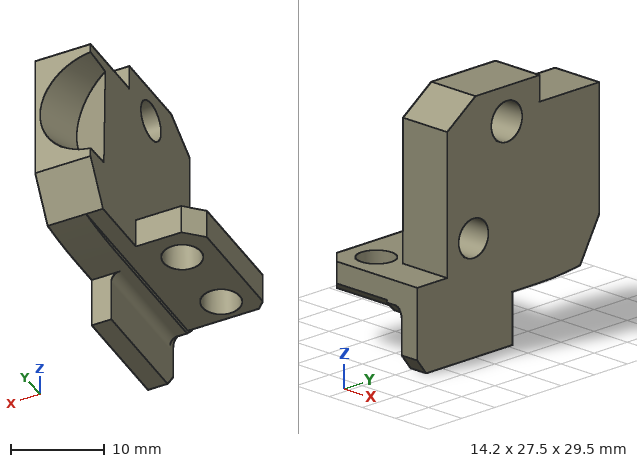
import cadquery as cq
import math

length_x = 14.15
length_y = 27.5
height = 29.5

block_left = 7.5
block_front = 4.5
shoulder_z = 26.5
shoulder_y = 18.5
top_bevel_y = 8.8
back_bevel_top_z = 11.6
back_bevel_bottom_y = 24.6

flange_top = 10.0
flange_bottom = 6.5
flange_depth = 17.0
corner_chamfer = 2.0
flange_edge_chamfer = 1.03

pad_left = 9.53
pad_bottom = 6.02
pad_flat_end = 17.97
pad_edge_chamfer = 1.2

leg_left = 11.8
leg_depth = 14.4
leg_chamfer_y = 1.35
leg_chamfer_z = 1.8
inner_fillet = 1.0
edge_search_margin = 0.03

flange_hole_diameter = 4.48
flange_hole_x = 3.98
flange_hole_ys = (4.0, 13.0)
cross_holes = ((13.5, 25.5, 4.65), (8.5, 13.5, 4.48))

scoop_radius = 6.43
scoop_center_x = 6.67
scoop_center_z = 19.03
scoop_depth = 2.57
scoop_yaw = 21.0
scoop_pitch = 1.4


def extrude_x(outline, x_start, x_end):
    """Extrude a closed YZ outline between two X positions."""
    return outline.extrude(x_end - x_start).translate((x_start, 0, 0))


def front_edge_wedge(bottom, size, x_start, x_end):
    """Wedge that bevels the lower front edge of a horizontal plate."""
    outline = cq.Workplane("YZ").polyline([(0, bottom), (size, bottom), (0, bottom + size)]).close()
    return extrude_x(outline, x_start, x_end)


def make_block():
    outline = cq.Workplane("YZ").polyline([
        (block_front, flange_bottom),
        (block_front, shoulder_z),
        (top_bevel_y, height),
        (shoulder_y, height),
        (shoulder_y, shoulder_z),
        (length_y, shoulder_z),
        (length_y, back_bevel_top_z),
        (back_bevel_bottom_y, flange_bottom),
    ]).close()
    return extrude_x(outline, block_left, length_x)


def make_flange():
    plate = cq.Workplane("XY").box(
        length_x, flange_depth, flange_top - flange_bottom, centered=False
    ).translate((0, 0, flange_bottom))
    plate = plate.edges("|Z and <X").chamfer(corner_chamfer)
    return plate.cut(front_edge_wedge(flange_bottom, flange_edge_chamfer, 0, pad_left))


def make_pad():
    outline = (
        cq.Workplane("YZ")
        .moveTo(0, flange_top)
        .lineTo(0, pad_bottom)
        .lineTo(pad_flat_end, pad_bottom)
        .tangentArcPoint((back_bevel_bottom_y, flange_bottom), relative=False)
        .lineTo(flange_depth, flange_top)
        .close()
    )
    return extrude_x(outline, pad_left, length_x)


def make_leg():
    outline = cq.Workplane("YZ").polyline([
        (0, flange_top),
        (0, leg_chamfer_z),
        (leg_chamfer_y, 0),
        (leg_depth, 0),
        (leg_depth, flange_top),
    ]).close()
    return extrude_x(outline, leg_left, length_x)


def make_scoop():
    """Cylinder entering from the back, its axis leaning sideways and slightly downward."""
    yaw = math.radians(scoop_yaw)
    pitch = math.radians(scoop_pitch)
    axis = cq.Vector(
        math.sin(yaw) * math.cos(pitch),
        math.cos(yaw) * math.cos(pitch),
        math.sin(pitch),
    )
    mouth_center = cq.Vector(scoop_center_x, length_y, scoop_center_z)
    inner_center = mouth_center - axis * (scoop_depth / math.cos(yaw))
    return cq.Workplane(cq.Solid.makeCylinder(scoop_radius, length_y, inner_center, axis))


under_wedge = front_edge_wedge(pad_bottom, pad_edge_chamfer, pad_left, leg_left)
lower_body = make_flange().union(make_pad()).cut(under_wedge).union(make_leg())

corner_box = cq.selectors.BoxSelector(
    (leg_left - edge_search_margin, 0, pad_bottom - edge_search_margin),
    (leg_left + edge_search_margin, leg_depth, pad_bottom + pad_edge_chamfer),
)
lower_body = lower_body.edges(corner_box).edges("not |X").fillet(inner_fillet)

body = lower_body.union(make_block()).cut(make_scoop())

for hole_y in flange_hole_ys:
    hole = cq.Workplane("XY").center(flange_hole_x, hole_y).circle(flange_hole_diameter / 2)
    body = body.cut(hole.extrude(height))

for hole_y, hole_z, diameter in cross_holes:
    hole = cq.Workplane("YZ").center(hole_y, hole_z).circle(diameter / 2)
    body = body.cut(hole.extrude(length_x))

result = body